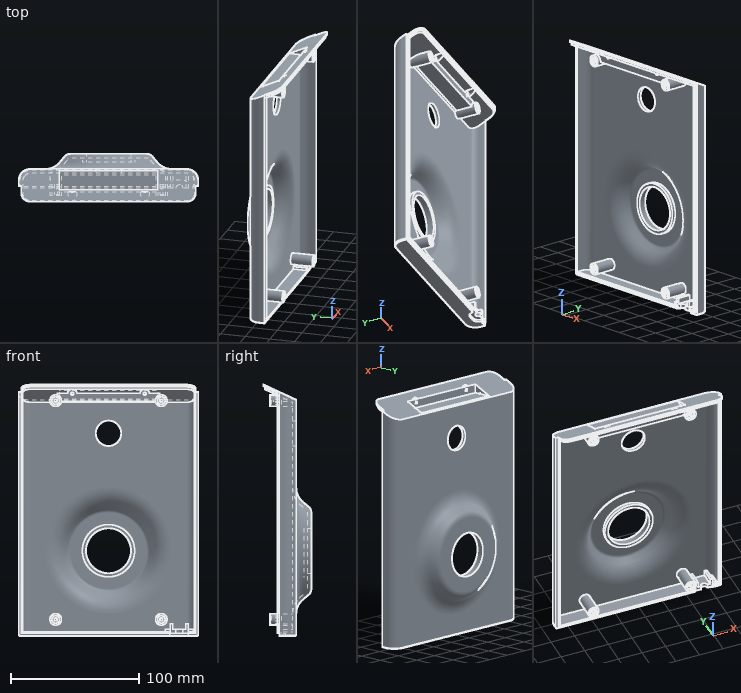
import cadquery as cq
import math


width = 140.0
height = 195.8
wall = 3.1
side_depth = 13.5
corner_radius = 9.2
bottom_chamfer = 0.8

rim_inset = 2.0
rim_height = 1.4
rim_front = side_depth + rim_height

roof_angle = 25.0
roof_thickness = 3.0
roof_reach = 25.7
lip_radius = 7.0
lip_thickness = 1.4
roof_slope = math.tan(math.radians(roof_angle))
roof_drop = roof_thickness / math.cos(math.radians(roof_angle))
rear_roof_z = height - roof_reach * roof_slope

pocket_width = 76.4
pocket_rear = 1.5
pocket_front = 16.3
pocket_wall = 1.8
pocket_floor_z = rear_roof_z + pocket_rear * roof_slope
pocket_wall_front = pocket_front + pocket_wall

screw_x = 28.2
screw_z = 188.5
screw_hole_radius = 1.0
screw_head_radius = 3.7

dish_z = 66.4
dish_depth = 11.8
dish_floor_radius = 29.8
dish_angle = 50.0
mouth_fillet = 17.5
floor_fillet = 2.7
collar_radius = 20.4
collar_height = 3.0
dish_hole_radius = 17.5

upper_hole_radius = 9.8
upper_hole_z = 157.8

boss_radius = 4.5
boss_front = 20.8
boss_x = 41.1
lower_boss_z = 13.0
upper_boss_z = 183.3
insert_radius = 3.0
insert_bore_radius = 1.2
insert_length = 7.8
insert_recess = 1.0
insert_front = boss_front - insert_recess
insert_rear = insert_front - insert_length

cable_x = 55.0
cable_radius = 2.7
cable_block_width = 21.5
cable_block_top = 5.0
cable_rib_spacing = 12.1
cable_rib_thickness = 2.0
cable_rib_top = 9.5
cable_slot_width = 14.5
cable_slot_radius = 4.9
cable_slot_depth = 4.9


def box(x_min, x_max, depth_min, depth_max, z_min, z_max):
    """Box between two X values, two depths in front of the rear face, and two heights."""
    size = (x_max - x_min, depth_max - depth_min, z_max - z_min)
    return cq.Workplane("XY").box(*size, centered=False).translate((x_min, -depth_max, z_min))


def rod(x, z, radius, depth_min, depth_max):
    """Cylinder along Y between two depths in front of the rear face."""
    rod_length = depth_max - depth_min
    return cq.Workplane("XZ").center(x, z).circle(radius).extrude(rod_length).translate((0, -depth_min, 0))


def upright(half_width, depth_min, depth_max, z_min, z_max):
    """Box centred on X = 0."""
    return box(-half_width, half_width, depth_min, depth_max, z_min, z_max)


def under_roof(drop):
    """Everything below a plane that lies a vertical distance under the roof's top face."""
    rear = -dish_depth
    front = 2 * roof_reach
    outline = [
        (-rear, 0),
        (-rear, rear_roof_z + rear * roof_slope - drop),
        (-front, rear_roof_z + front * roof_slope - drop),
        (-front, 0),
    ]
    return cq.Workplane("YZ").polyline(outline).close().extrude(width / 2, both=True)


def make_tray():
    """Panel, side walls, bottom and rim, closed at the top by the underside of the roof."""
    outer = upright(width / 2, 0, side_depth, 0, height)
    outer = outer.edges("|Z and >Y").fillet(corner_radius)
    outer = outer.faces("<Z").edges("not <Y").chamfer(bottom_chamfer)
    rim = upright(width / 2 - rim_inset, corner_radius, rim_front, rim_inset, height)
    cavity = upright(width / 2 - wall, wall, roof_reach, wall, height)
    cavity = cavity.edges("|Z and >Y").fillet(corner_radius - wall)
    return outer.union(rim).cut(cavity.intersect(under_roof(roof_drop)))


def roof_layer(inset, thickness):
    """Part of the overhanging roof, set in from the thin lip's outline, with rounded front corners."""
    half_width = width / 2 - rim_inset - inset
    layer = upright(half_width, corner_radius, roof_reach - inset, 0, height)
    layer = layer.edges("|Z and <Y").fillet(lip_radius - inset)
    return layer.cut(under_roof(thickness))


def make_roof():
    lip = roof_layer(0, lip_thickness)
    core = roof_layer(wall - rim_inset, roof_drop)
    return lip.union(core)


def dish_profile(offset):
    """Half section of the dish, as a solid of revolution grown outward from its inner surface."""
    angle = math.radians(dish_angle)
    floor_bend = floor_fillet + offset
    mouth_bend = mouth_fillet - offset
    bend_drop = (floor_fillet + mouth_fillet) * (1 - math.cos(angle))
    cone_run = (dish_depth - bend_drop) / math.tan(angle)
    mouth_radius = dish_floor_radius + (floor_fillet + mouth_fillet) * math.sin(angle) + cone_run
    floor_y = dish_depth - wall + offset
    mouth_y = offset - wall

    def floor_point(turn):
        return (
            dish_floor_radius + floor_bend * math.sin(turn),
            floor_y - floor_bend * (1 - math.cos(turn)),
        )

    def mouth_point(turn):
        return (
            mouth_radius - mouth_bend * math.sin(turn),
            mouth_y + mouth_bend * (1 - math.cos(turn)),
        )

    return (
        cq.Workplane("XY")
        .moveTo(0, mouth_y)
        .lineTo(0, floor_y)
        .lineTo(*floor_point(0))
        .threePointArc(floor_point(angle / 2), floor_point(angle))
        .lineTo(*mouth_point(angle))
        .threePointArc(mouth_point(angle / 2), mouth_point(0))
        .close()
        .revolve(360, (0, 0, 0), (0, 1, 0))
        .translate((0, 0, dish_z))
    )


def add_dish(body):
    floor_depth = wall - dish_depth
    collar = rod(0, dish_z, collar_radius, floor_depth, floor_depth + collar_height)
    hole = rod(0, dish_z, dish_hole_radius, -dish_depth, floor_depth + collar_height)
    return body.union(dish_profile(wall)).cut(dish_profile(0)).union(collar).cut(hole)


def add_pocket(body):
    half_width = pocket_width / 2
    casing = upright(
        half_width + pocket_wall, wall / 2, pocket_wall_front, pocket_floor_z - pocket_wall, height
    )
    pocket = upright(half_width, pocket_rear, pocket_front, pocket_floor_z, height)
    return body.union(casing.intersect(under_roof(0))).cut(pocket)


def cut_screw_holes(body):
    for x in (-screw_x, screw_x):
        body = body.cut(rod(x, screw_z, screw_hole_radius, pocket_rear, roof_reach))
        body = body.cut(rod(x, screw_z, screw_head_radius, pocket_wall_front, roof_reach))
    return body


def add_bosses(body):
    for x, z in boss_places:
        boss = rod(x, z, boss_radius, wall / 2, boss_front)
        body = body.union(boss.intersect(under_roof(0)))
    return body


def cut_insert_holes(body):
    for x, z in boss_places:
        body = body.cut(rod(x, z, insert_radius, insert_rear, boss_front))
    return body


def add_cable_outlet(body):
    half_block = cable_block_width / 2
    half_spacing = cable_rib_spacing / 2
    half_rib = cable_rib_thickness / 2
    block = box(cable_x - half_block, cable_x + half_block, wall / 2, side_depth, wall / 2, cable_block_top)
    saddle = box(
        cable_x - half_spacing, cable_x + half_spacing, wall / 2, rim_front, rim_inset, cable_block_top
    )
    body = body.union(block).union(saddle)
    for rib_x in (cable_x - half_spacing, cable_x + half_spacing):
        body = body.union(
            box(rib_x - half_rib, rib_x + half_rib, wall / 2, rim_front, rim_inset, cable_rib_top)
        )

    groove = cq.Workplane("XY").center(cable_x, -rim_front).circle(cable_radius).extrude(cable_block_top)
    half_slot = cable_slot_width / 2
    slot = box(
        cable_x - half_slot, cable_x + half_slot, side_depth - cable_slot_depth, rim_front, 0, rim_inset
    )
    slot = slot.edges("|Z and >Y").fillet(cable_slot_radius * 0.99)
    return body.cut(groove).cut(slot)


def make_housing():
    body = make_tray().union(make_roof()).intersect(under_roof(0))
    body = add_dish(body)
    body = body.cut(rod(0, upper_hole_z, upper_hole_radius, 0, wall))
    body = add_bosses(body)
    body = add_pocket(body)
    body = cut_screw_holes(body)
    body = cut_insert_holes(body)
    return add_cable_outlet(body)


def make_insert(x, z):
    """Tubular insert set just below the front end of its boss."""
    bore = rod(x, z, insert_bore_radius, insert_rear, insert_front)
    return rod(x, z, insert_radius, insert_rear, insert_front).cut(bore)


boss_places = [(x, z) for x in (-boss_x, boss_x) for z in (lower_boss_z, upper_boss_z)]

housing = make_housing()
inserts = [make_insert(x, z) for x, z in boss_places]

result = cq.Compound.makeCompound([housing.val(), *[insert.val() for insert in inserts]])